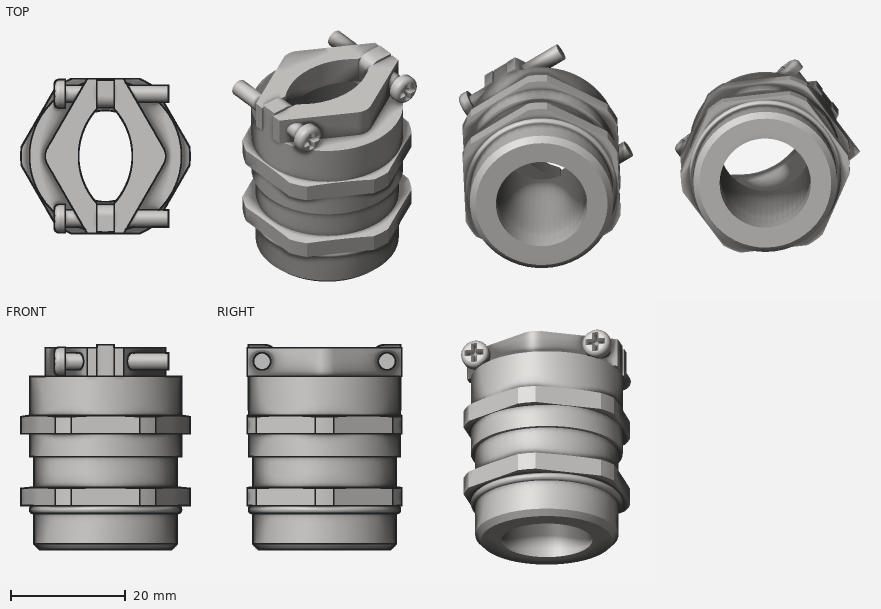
import cadquery as cq
import math

THREAD_R = 12.5
THREAD_CHAMFER = 1.0
COLLAR_R = 13.25
COLLAR_BOTTOM_Z = 16.2
BODY_TOP_Z = 30.2
BORE_R = 7.95

RING_WIRE_R = 0.68
RING_CENTRE_R = COLLAR_R - RING_WIRE_R

HEX_ACROSS_FLATS = 27.0
HEX_SHARP_WIDTH = HEX_ACROSS_FLATS / math.cos(math.pi / 6)
HEX_CORNER_R = 14.75
HEX_HEIGHT = 3.25
HEX_CONE_DROP = 0.25
LOWER_HEX_Z = 7.65
UPPER_HEX_Z = 20.15

JAW_HEIGHT = 5.0
JAW_HALF_LENGTH = HEX_ACROSS_FLATS / 2
JAW_HALF_WIDTH = 10.5
JAW_CORNER_R = 3.0
JAW_SIDE_ANGLE = math.radians(30)
OPENING_HALF_WIDTH = 4.68
OPENING_ARC_R = 12.25

TONGUE_WIDTH = 3.0
TONGUE_INNER_Y = 8.4
TONGUE_RISE = 0.5
TONGUE_ROUND_R = 2.0

SCREW_Y = 10.88
SCREW_HEIGHT_ON_JAW = 2.6
SCREW_Z = BODY_TOP_Z + SCREW_HEIGHT_ON_JAW
SHANK_R = 1.5
SHANK_END_X = 11.0
HEAD_R = 2.5
HEAD_SEAT_X = -7.0
HEAD_HEIGHT = 1.95
HEAD_ROUND_R = 0.95
RECESS_LENGTH = 3.5
RECESS_WIDTH = 1.1
RECESS_FLOOR_WIDTH = 0.06
RECESS_CENTRE_FLOOR = 0.45
RECESS_DEPTH = 1.0


def make_body():
    """Stepped outside of the body: chamfered thread and wider collar."""
    thread = cq.Workplane("XY").circle(THREAD_R).extrude(BODY_TOP_Z)
    thread = thread.faces("<Z").chamfer(THREAD_CHAMFER)
    collar = (
        cq.Workplane("XY")
        .workplane(offset=COLLAR_BOTTOM_Z)
        .circle(COLLAR_R)
        .extrude(BODY_TOP_Z - COLLAR_BOTTOM_Z)
    )
    return thread.union(collar)


def make_sealing_ring():
    """Round ring lying against the underside of the lower hexagon."""
    return (
        cq.Workplane("XZ")
        .center(RING_CENTRE_R, LOWER_HEX_Z - RING_WIRE_R)
        .circle(RING_WIRE_R)
        .revolve(360, (-RING_CENTRE_R, 0), (-RING_CENTRE_R, 1))
    )


def make_hexagon(bottom_z, cone_start_r):
    """Hexagon with turned corners and a top that slopes down outside cone_start_r."""
    hexagon = (
        cq.Workplane("XY")
        .workplane(offset=bottom_z)
        .polygon(6, HEX_SHARP_WIDTH)
        .extrude(HEX_HEIGHT)
    )
    top_z = bottom_z + HEX_HEIGHT
    turned_blank = (
        cq.Workplane("XZ")
        .moveTo(0, bottom_z)
        .lineTo(HEX_CORNER_R, bottom_z)
        .lineTo(HEX_CORNER_R, top_z - HEX_CONE_DROP)
        .lineTo(cone_start_r, top_z)
        .lineTo(0, top_z)
        .close()
        .revolve(360, (0, 0), (0, 1))
    )
    return hexagon.intersect(turned_blank)


def make_bore():
    """Straight passage through the whole body."""
    return cq.Workplane("XY").circle(BORE_R).extrude(BODY_TOP_Z)


def make_jaws():
    """Rhombic clamp block with cut-off ends, split along Y by the tongue slot."""
    corner_x = JAW_HALF_WIDTH + JAW_CORNER_R * (1 / math.cos(JAW_SIDE_ANGLE) - 1)
    end_x = corner_x - JAW_HALF_LENGTH * math.tan(JAW_SIDE_ANGLE)
    block = (
        cq.Workplane("XY")
        .workplane(offset=BODY_TOP_Z)
        .polyline([
            (corner_x, 0),
            (end_x, JAW_HALF_LENGTH),
            (-end_x, JAW_HALF_LENGTH),
            (-corner_x, 0),
            (-end_x, -JAW_HALF_LENGTH),
            (end_x, -JAW_HALF_LENGTH),
        ])
        .close()
        .extrude(JAW_HEIGHT)
    )
    block = block.edges("|Z and (<X or >X)").fillet(JAW_CORNER_R)
    slot = (
        cq.Workplane("XY")
        .workplane(offset=BODY_TOP_Z)
        .rect(TONGUE_WIDTH, 2 * JAW_HALF_LENGTH)
        .extrude(JAW_HEIGHT)
    )
    return block.cut(slot).cut(make_opening())


def make_opening():
    """Lens-shaped cable opening between the jaws, bounded by two arcs."""
    tip_y = math.sqrt(OPENING_ARC_R**2 - (OPENING_ARC_R - OPENING_HALF_WIDTH) ** 2)
    return (
        cq.Workplane("XY")
        .workplane(offset=BODY_TOP_Z)
        .moveTo(0, -tip_y)
        .threePointArc((OPENING_HALF_WIDTH, 0), (0, tip_y))
        .threePointArc((-OPENING_HALF_WIDTH, 0), (0, -tip_y))
        .close()
        .extrude(JAW_HEIGHT)
    )


def make_tongue(side):
    """Upright tongue at the +Y (side = 1) or -Y (side = -1) end, rounded at its inner top edge."""
    length = COLLAR_R - TONGUE_INNER_Y
    tongue = (
        cq.Workplane("XY")
        .workplane(offset=BODY_TOP_Z)
        .center(0, side * (TONGUE_INNER_Y + length / 2))
        .rect(TONGUE_WIDTH, length)
        .extrude(JAW_HEIGHT + TONGUE_RISE)
    )
    inner_face = "<Y" if side > 0 else ">Y"
    return tongue.faces(inner_face).edges(">Z").fillet(TONGUE_ROUND_R)


def make_cross_recess(y):
    """Cross recess cutter: two arms with sloping walls and a tapered diamond where they meet."""
    head_face = cq.Workplane("YZ").workplane(offset=HEAD_SEAT_X - HEAD_HEIGHT).center(y, SCREW_Z)
    arm_inset = (RECESS_WIDTH - RECESS_FLOOR_WIDTH) / 2
    arm_taper = math.degrees(math.atan(arm_inset / RECESS_DEPTH))
    arm_along_y = head_face.rect(RECESS_LENGTH, RECESS_WIDTH).extrude(RECESS_DEPTH, taper=arm_taper)
    arm_along_z = head_face.rect(RECESS_WIDTH, RECESS_LENGTH).extrude(RECESS_DEPTH, taper=arm_taper)

    tip = RECESS_WIDTH
    side_inset = (tip - RECESS_CENTRE_FLOOR) / math.sqrt(2)
    diamond_taper = math.degrees(math.atan(side_inset / RECESS_DEPTH))
    diamond = (
        head_face.polyline([(tip, 0), (0, tip), (-tip, 0), (0, -tip)])
        .close()
        .extrude(RECESS_DEPTH, taper=diamond_taper)
    )
    return arm_along_y.union(arm_along_z).union(diamond)


def make_screw(y):
    """Pan-head screw along X with a cross recess in its -X head."""
    axis_plane = cq.Workplane("YZ").center(y, SCREW_Z)
    shank = axis_plane.workplane(offset=HEAD_SEAT_X).circle(SHANK_R).extrude(SHANK_END_X - HEAD_SEAT_X)
    head = axis_plane.workplane(offset=HEAD_SEAT_X).circle(HEAD_R).extrude(-HEAD_HEIGHT)
    head = head.faces("<X").edges().fillet(HEAD_ROUND_R)
    return shank.union(head).cut(make_cross_recess(y))


result = make_body()
result = result.union(make_hexagon(LOWER_HEX_Z, THREAD_R))
result = result.union(make_hexagon(UPPER_HEX_Z, COLLAR_R))
result = result.union(make_sealing_ring())
result = result.cut(make_bore())
result = result.union(make_jaws())
for end in (1, -1):
    result = result.union(make_tongue(end))
    result = result.union(make_screw(end * SCREW_Y))